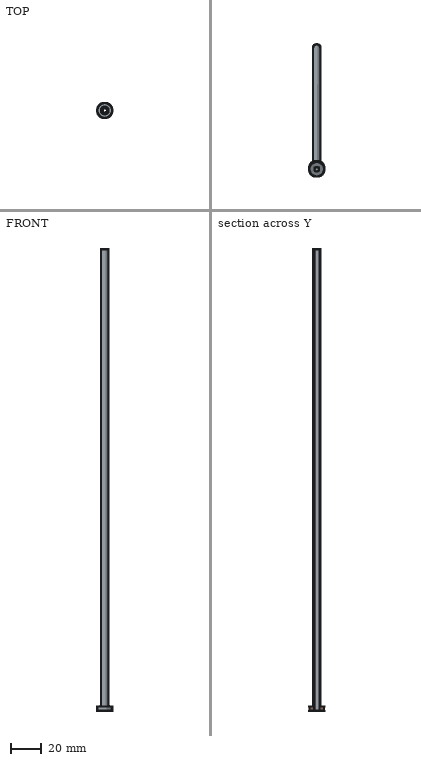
import cadquery as cq

head_diameter = 10.0
head_height = 3.0
shank_diameter = 5.0
shank_length = 300.0
bore_diameter = 3.0
neck_fillet_radius = 0.3

total_length = head_height + shank_length


def cylinder(diameter, height):
    """Upright cylinder on the sleeve axis, starting at Z = 0."""
    return cq.Workplane("XY").circle(diameter / 2).extrude(height)


def fillet_neck(body):
    """Round the inner corner where the shank meets the top of the head."""
    head_top = body.faces("+Z").faces("<Z")
    neck_edge = head_top.edges(cq.selectors.RadiusNthSelector(0))
    return neck_edge.fillet(neck_fillet_radius)


head = cylinder(head_diameter, head_height)
shank = cylinder(shank_diameter, total_length)
through_bore = cylinder(bore_diameter, total_length)

result = fillet_neck(head.union(shank)).cut(through_bore)